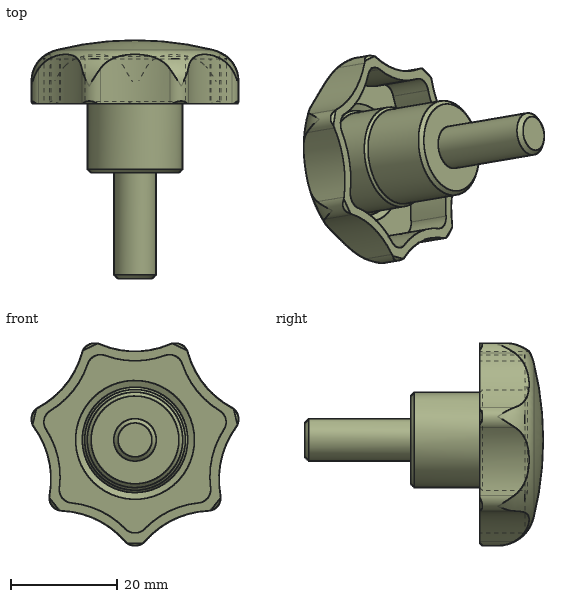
import cadquery as cq
import math

lobe_count = 7
overall_length = 45.0

head_height = 12.0
lobe_radius = 20.0
lobe_tip_radius = 2.5
scallop_floor = 16.7
dome_radius = 60.0
shoulder_radius = 7.0
tip_chamfer = 0.55

wall = 1.8
pocket_lobe_radius = 17.55
pocket_tip_radius = 2.5
pocket_depth = 8.5

hub_length = 13.0
hub_radius = 18 / 2
hub_chamfer = 0.7
hub_root_radius = 19.0 / 2
hub_step_length = 0.5
stud_radius = 8.0 / 2
stud_chamfer = 0.8

groove_outer_radius = 11.2
groove_inner_radius = 9.95
groove_depth = 0.45

lobe_pitch = 360 / lobe_count
half_pitch = math.radians(lobe_pitch / 2)
stud_end = head_height - overall_length


def polar(radius, angle):
    """Point in the XZ plane, with the angle measured from -Z."""
    return (radius * math.sin(angle), -radius * math.cos(angle))


def star_prism(outer_radius, tip_radius, floor_radius, depth):
    """Prism from y = 0 to y = depth whose outline alternates tip and scallop arcs, tangent to each other."""
    tip_center = outer_radius - tip_radius
    across = tip_center * math.sin(half_pitch)
    rise = floor_radius - tip_center * math.cos(half_pitch)
    scallop = (across**2 + rise**2 - tip_radius**2) / (2 * (tip_radius - rise))
    scallop_center = floor_radius + scallop
    share = tip_radius / (tip_radius + scallop)

    tangent_x = share * scallop_center * math.sin(half_pitch)
    tangent_z = tip_center + share * (scallop_center * math.cos(half_pitch) - tip_center)
    tangent_angle = math.atan2(tangent_x, tangent_z)
    tangent_radius = math.hypot(tangent_x, tangent_z)

    outline = cq.Workplane("XZ").moveTo(*polar(tangent_radius, -tangent_angle))
    for index in range(lobe_count):
        lobe = 2 * half_pitch * index
        outline = outline.threePointArc(
            polar(outer_radius, lobe), polar(tangent_radius, lobe + tangent_angle)
        )
        outline = outline.threePointArc(
            polar(floor_radius, lobe + half_pitch),
            polar(tangent_radius, lobe + 2 * half_pitch - tangent_angle),
        )
    return outline.close().extrude(-depth)


def revolve_about_y(profile):
    return profile.close().revolve(360, (0, 0, 0), (0, 1, 0))


def make_dome():
    """Round envelope of the head: shallow crown blended into a cylindrical side."""
    crown_center = head_height - dome_radius
    shoulder_x = lobe_radius - shoulder_radius
    crown_angle = math.asin(shoulder_x / (dome_radius - shoulder_radius))
    shoulder_y = crown_center + (dome_radius - shoulder_radius) * math.cos(crown_angle)
    middle_angle = (crown_angle + math.pi / 2) / 2

    def on_crown(angle):
        return (dome_radius * math.sin(angle), crown_center + dome_radius * math.cos(angle))

    shoulder_middle = (
        shoulder_x + shoulder_radius * math.sin(middle_angle),
        shoulder_y + shoulder_radius * math.cos(middle_angle),
    )
    profile = (
        cq.Workplane("XY")
        .lineTo(lobe_radius, 0)
        .lineTo(lobe_radius, shoulder_y)
        .threePointArc(shoulder_middle, on_crown(crown_angle))
        .threePointArc(on_crown(crown_angle / 2), (0, head_height))
    )
    return revolve_about_y(profile)


def chamfer_lobe_tips(head):
    """Flat 45 degree cut across the rim end of every lobe."""
    cutter = (
        cq.Workplane("YZ")
        .polyline([
            (0, -lobe_radius + tip_chamfer),
            (0, -lobe_radius),
            (tip_chamfer, -lobe_radius),
        ])
        .close()
        .extrude(lobe_tip_radius, both=True)
    )
    for index in range(lobe_count):
        head = head.cut(cutter.rotate((0, 0, 0), (0, 1, 0), index * lobe_pitch))
    return head


def make_groove():
    profile = cq.Workplane("XY").polyline([
        (0, pocket_depth),
        (groove_outer_radius, pocket_depth),
        (groove_inner_radius, pocket_depth + groove_depth),
        (0, pocket_depth + groove_depth),
    ])
    return revolve_about_y(profile)


def make_hub_and_stud():
    root_cone_height = groove_inner_radius - hub_root_radius
    groove_floor = pocket_depth + groove_depth
    profile = cq.Workplane("XY").polyline([
        (0, stud_end),
        (stud_radius - stud_chamfer, stud_end),
        (stud_radius, stud_end + stud_chamfer),
        (stud_radius, -hub_length),
        (hub_radius - hub_chamfer, -hub_length),
        (hub_radius, -hub_length + hub_chamfer),
        (hub_radius, 0),
        (hub_root_radius, hub_step_length),
        (hub_root_radius, groove_floor - root_cone_height),
        (groove_inner_radius, groove_floor),
        (0, groove_floor),
    ])
    return revolve_about_y(profile)


star = star_prism(lobe_radius, lobe_tip_radius, scallop_floor, head_height)
pocket = star_prism(pocket_lobe_radius, pocket_tip_radius, scallop_floor - wall, pocket_depth)

head = chamfer_lobe_tips(make_dome().intersect(star))
result = head.cut(pocket).cut(make_groove()).union(make_hub_and_stud())